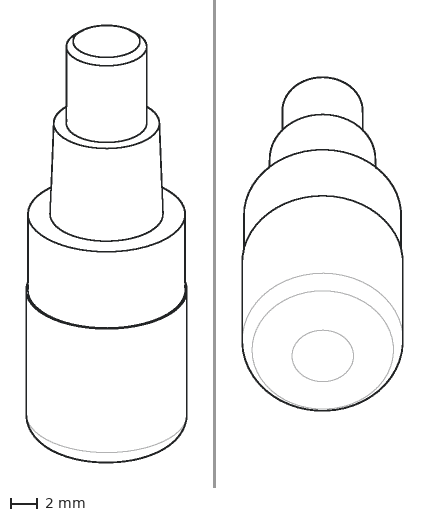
import cadquery as cq
import math

barrel_radius = 6.0
collar_radius = 5.85
barrel_top = 12.57
collar_top = 19.05
bottom_flat_radius = 2.3
corner_radius = 1.48
corner_top = 2.1

taper_bottom_radius = 4.2
taper_top_radius = 3.95
taper_top = 26.75
stud_radius = 3.0
pin_top = 33.7
chamfer_width = 0.5
chamfer_height = 0.45

corner_center = barrel_radius - corner_radius
center_offset = corner_center - bottom_flat_radius
crown_radius = (center_offset**2 + corner_top**2 - corner_radius**2) / (2 * (corner_top - corner_radius))
crown_angle = math.asin(center_offset / (crown_radius - corner_radius))


def crown_point(angle):
    """Profile point on the large arc at an angle from straight down."""
    return (
        bottom_flat_radius + crown_radius * math.sin(angle),
        crown_radius * (1 - math.cos(angle)),
    )


def corner_point(angle):
    """Profile point on the corner round at an angle from straight down."""
    return (
        corner_center + corner_radius * math.sin(angle),
        corner_top - corner_radius * math.cos(angle),
    )


def revolve_profile(profile):
    """Turn a radius-height profile in the XZ plane about the Z axis."""
    return profile.close().revolve(360, (0, 0, 0), (0, 1, 0))


def make_housing():
    corner_middle_angle = (crown_angle + math.pi / 2) / 2
    profile = (
        cq.Workplane("XZ")
        .moveTo(0, 0)
        .lineTo(bottom_flat_radius, 0)
        .threePointArc(crown_point(crown_angle / 2), crown_point(crown_angle))
        .threePointArc(corner_point(corner_middle_angle), (barrel_radius, corner_top))
        .lineTo(barrel_radius, barrel_top)
        .lineTo(collar_radius, barrel_top)
        .lineTo(collar_radius, collar_top)
        .lineTo(0, collar_top)
    )
    return revolve_profile(profile)


def make_pin():
    profile = (
        cq.Workplane("XZ")
        .moveTo(0, collar_top)
        .lineTo(taper_bottom_radius, collar_top)
        .lineTo(taper_top_radius, taper_top)
        .lineTo(stud_radius, taper_top)
        .lineTo(stud_radius, pin_top - chamfer_height)
        .lineTo(stud_radius - chamfer_width, pin_top)
        .lineTo(0, pin_top)
    )
    return revolve_profile(profile)


housing = make_housing()
pin = make_pin()

result = cq.Compound.makeCompound([housing.val(), pin.val()])